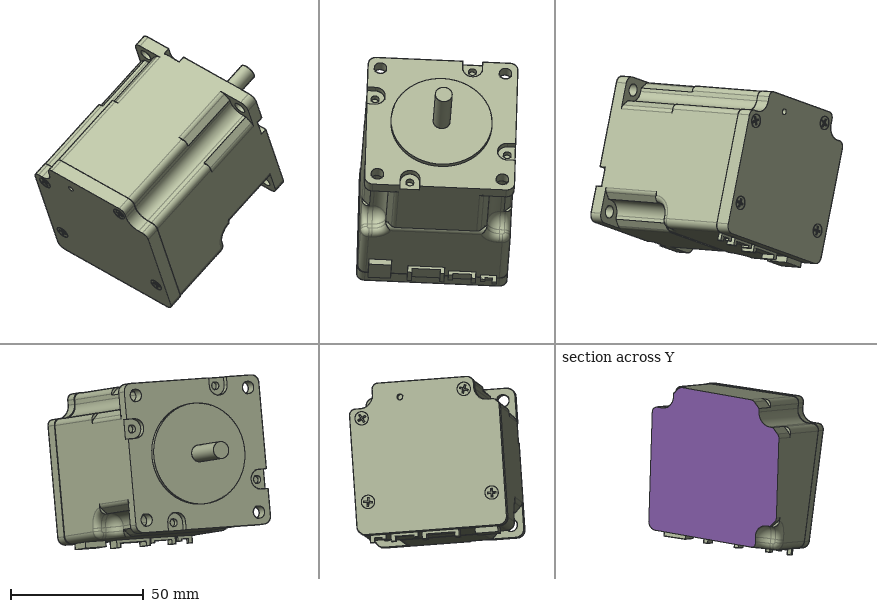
import cadquery as cq
import math


HALF = 28.2
FLANGE_BACK = -4.9
HOUSING_FRONT = -29.8
COVER_FRONT = -62.0
REAR = -67.7

CORNER_RADIUS = 3.05
MOUNT_SPACING = 47.1
MOUNT_HOLE = 4.7
PILOT_DIAMETER = 38.1
PILOT_HEIGHT = 1.6
SHAFT_DIAMETER = 6.4
SHAFT_END = 20.6

SLOT_OFFSET = 11.15
SLOT_WIDTH = 7.4
SLOT_CENTRE = 25.2
SLOT_DEPTH = 2.6
SLOT_HOLE = 3.0
SLOT_HOLE_DEPTH = 2.3

GROOVE_WALL = 19.1
GROOVE_RADIUS = 5.0
SHOULDER_RADIUS = 2.3
BEVEL_WIDTH = 2.2
HOUSING_FILLET = 2.4
POCKET_END = HOUSING_FRONT - GROOVE_RADIUS

COVER_MARGIN = 0.14
COVER_SHIFT = 0.1

COVER_SCREWS = [
    (-23.7, 15.5, 30),
    (15.5, 23.7, -21),
    (-23.4, -16.1, -8),
    (23.4, -16.1, 0),
]
SCREW_HEAD = 5.05
SCREW_SINK = 0.2
CROSS_SPAN = 3.2
CROSS_WIDTH = 0.6
CROSS_DEPTH = 0.8
PIN_HOLE_X, PIN_HOLE_Z = -8.8, 22.5
PIN_HOLE = 2.2
PIN_HOLE_DEPTH = 2.9

SOCKETS = [
    (-24.1, -18.1, -60.5, 1.9),
    (-16.2, -5.9, -58.6, 1.9),
    (-4.4, 9.5, -56.3, 2.9),
]
SOCKET_DROP = 2.9
SOCKET_FLOOR_DROP = 1.1
SOCKET_WALL = 1.6
PLUG = (15.7, 24.3, -52.8)
PLUG_DROP = 2.3

TOLERANCE = 0.01

ROLL = -2.1
PITCH = 15.5
YAW = 15.4


def section(y):
    """Sketch plane across the shaft at y; extruding goes towards the rear."""
    return cq.Workplane("XZ", origin=(0, y, 0))


def block(x0, x1, y0, y1, z0, z1):
    return cq.Workplane("XY").box(x1 - x0, y1 - y0, z1 - z0, centered=False).translate((x0, y0, z0))


def make_flange():
    flange = section(0).rect(2 * HALF, 2 * HALF).extrude(-FLANGE_BACK)
    flange = flange.edges("|Y").fillet(CORNER_RADIUS)
    holes = section(0).rect(MOUNT_SPACING, MOUNT_SPACING, forConstruction=True).vertices()
    flange = flange.cut(holes.circle(MOUNT_HOLE / 2).extrude(-FLANGE_BACK))

    slot_length = 2 * (HALF - SLOT_CENTRE) + SLOT_WIDTH
    slot = section(0).center(-SLOT_OFFSET, HALF).slot2D(slot_length, SLOT_WIDTH, 90).extrude(SLOT_DEPTH)
    hole = (
        section(-SLOT_DEPTH).center(-SLOT_OFFSET, SLOT_CENTRE)
        .circle(SLOT_HOLE / 2).extrude(SLOT_HOLE_DEPTH)
    )
    slot = slot.union(hole)
    for quarter in range(4):
        flange = flange.cut(slot.rotate((0, 0, 0), (0, 1, 0), 90 * quarter))

    pilot = section(PILOT_HEIGHT).circle(PILOT_DIAMETER / 2).extrude(PILOT_HEIGHT)
    shaft = section(SHAFT_END).circle(SHAFT_DIAMETER / 2).extrude(SHAFT_END)
    return flange.union(pilot).union(shaft)


def make_stator():
    """Square stack with a groove along each corner and bevelled groove shoulders."""
    bevel_angle = math.radians(45)
    bevel_inner = GROOVE_WALL - BEVEL_WIDTH
    bevel_top = HALF - SHOULDER_RADIUS * (1 - math.cos(bevel_angle))
    bevel_low = bevel_top - BEVEL_WIDTH
    arc_start = bevel_inner - SHOULDER_RADIUS * math.sin(bevel_angle)
    groove_centre = GROOVE_WALL + GROOVE_RADIUS
    groove_middle = groove_centre - GROOVE_RADIUS * math.cos(bevel_angle)
    quarter = (
        section(FLANGE_BACK)
        .lineTo(0, HALF)
        .lineTo(arc_start, HALF)
        .tangentArcPoint((bevel_inner, bevel_top), relative=False)
        .lineTo(GROOVE_WALL, bevel_low)
        .lineTo(GROOVE_WALL, groove_centre)
        .threePointArc((groove_middle, groove_middle), (groove_centre, GROOVE_WALL))
        .lineTo(bevel_low, GROOVE_WALL)
        .lineTo(bevel_top, bevel_inner)
        .tangentArcPoint((HALF, arc_start), relative=False)
        .lineTo(HALF, 0)
        .close()
        .extrude(FLANGE_BACK - HOUSING_FRONT)
    )
    half = quarter.union(quarter.mirror("YZ"))
    return half.union(half.mirror("XY"))


def is_pocket_rim(edge):
    """True for the edges where a lower corner pocket opens onto the housing sides."""
    box = edge.BoundingBox()
    near_pocket = box.zmax < -GROOVE_WALL + TOLERANCE and box.ymin > POCKET_END - TOLERANCE
    on_side = box.xlen < TOLERANCE and abs(box.center.x) > HALF - TOLERANCE
    on_bottom = box.zlen < TOLERANCE and box.zmax < -HALF + TOLERANCE
    on_round_corner = (
        box.ymax < POCKET_END + TOLERANCE
        and abs(box.center.x) > HALF - CORNER_RADIUS
        and box.center.z < -HALF + CORNER_RADIUS
    )
    return near_pocket and (on_side or on_bottom or on_round_corner)


def make_driver_block(front, rear, margin):
    """Square block with round lower corners and open, rounded grooves along its upper corners."""
    side = HALF + margin
    wall = GROOVE_WALL + margin
    body = section(front).rect(2 * side, 2 * side).extrude(front - rear)
    body = body.edges("|Y and <Z").fillet(CORNER_RADIUS)
    groove = block(wall, 2 * HALF, rear, front, wall, 2 * HALF)
    groove = groove.edges("|Y and <X and <Z").fillet(GROOVE_RADIUS)
    body = body.cut(groove).cut(groove.mirror("YZ"))

    def is_shoulder(edge):
        reach = sorted((abs(edge.Center().x), edge.Center().z))
        return abs(reach[0] - wall) < TOLERANCE and abs(reach[1] - side) < TOLERANCE

    return body.edges("|Y").filter(is_shoulder).fillet(HOUSING_FILLET)


def make_housing():
    """Driver housing with a blind, round-ended pocket in each lower front corner."""
    housing = make_driver_block(HOUSING_FRONT, COVER_FRONT, 0)
    pocket = block(GROOVE_WALL, 2 * HALF, POCKET_END, 0, -2 * HALF, -GROOVE_WALL)
    inner_edges = "(|X and <Y and >Z) or (|Y and <X and >Z) or (|Z and <X and <Y)"
    pocket = pocket.edges(inner_edges).fillet(GROOVE_RADIUS)
    housing = housing.cut(pocket).cut(pocket.mirror("YZ"))
    return housing.edges().filter(is_pocket_rim).fillet(HOUSING_FILLET)


def make_cover():
    """Rear cover, slightly larger than the housing and shifted sideways."""
    return make_driver_block(COVER_FRONT, REAR, COVER_MARGIN).translate((COVER_SHIFT, 0, 0))


def make_cover_cuts():
    """Sunk screw heads with cross recesses, and a small blind hole."""
    cross_bottom = SCREW_SINK + CROSS_DEPTH
    cuts = section(REAR + PIN_HOLE_DEPTH).center(PIN_HOLE_X, PIN_HOLE_Z)
    cuts = cuts.circle(PIN_HOLE / 2).extrude(PIN_HOLE_DEPTH)
    for x, z, turn in COVER_SCREWS:
        head = section(REAR + SCREW_SINK).circle(SCREW_HEAD / 2).extrude(SCREW_SINK)
        for arm in (0, 90):
            bar = section(REAR + cross_bottom).rect(CROSS_SPAN, CROSS_WIDTH).extrude(cross_bottom)
            head = head.union(bar.rotate((0, 0, 0), (0, 1, 0), -turn - arm))
        cuts = cuts.union(head.translate((x, 0, z)))
    return cuts


def make_connectors():
    """A solid plug, and sockets made of a floor and two end walls, under the housing."""
    x0, x1, front = PLUG
    connectors = block(x0, x1, COVER_FRONT, front, -HALF - PLUG_DROP, -HALF)
    for x0, x1, front, last_drop in SOCKETS:
        floor = block(x0, x1, COVER_FRONT, front, -HALF - SOCKET_FLOOR_DROP, -HALF)
        connectors = connectors.union(floor)
        for wall_x, drop in ((x0, SOCKET_DROP), (x1 - SOCKET_WALL, last_drop)):
            wall = block(wall_x, wall_x + SOCKET_WALL, COVER_FRONT, front, -HALF - drop, -HALF)
            connectors = connectors.union(wall)
    return connectors


motor = make_flange().union(make_stator()).union(make_housing()).union(make_cover())
motor = motor.cut(make_cover_cuts()).union(make_connectors())

result = (
    motor
    .rotate((0, 0, 0), (0, 1, 0), ROLL)
    .rotate((0, 0, 0), (1, 0, 0), PITCH)
    .rotate((0, 0, 0), (0, 0, 1), YAW)
)